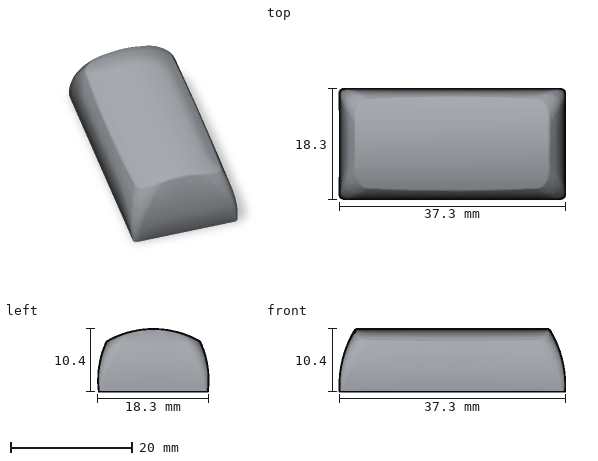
import cadquery as cq
import math

length = 37.3
width = 18.28
height = 10.4

end_wall_radius = 16.05
end_wall_widest_height = 1.12
long_wall_radius = 13.43
long_wall_widest_height = 1.85

end_wall_bow = 0.3
long_wall_bow = 0.5

corner_base_reach = 0.6
long_wall_corner_growth = 0.28
end_wall_corner_growth = 0.24

round_handle = 4 / 3 * (math.sqrt(2) - 1)

crown_radius = 15.3
crown_edge_radius = 0.65

loft_top = height + 0.37
section_count = 6


def wall_inset(z, wall_radius, widest_height):
    """Distance a wall has curved inwards at height z."""
    return wall_radius - math.sqrt(wall_radius**2 - (z - widest_height) ** 2)


def add_wall(outline, end, bow_point, bow):
    """Continue the outline along one wall, straight where there is no bow."""
    if bow == 0:
        return outline.lineTo(*end)
    return outline.threePointArc(bow_point, end)


def body_section(z):
    """Rounded rectangle with bowed sides at height z, its corners tangent to the sides."""
    half_x = length / 2 - wall_inset(z, end_wall_radius, end_wall_widest_height)
    half_y = width / 2 - wall_inset(z, long_wall_radius, long_wall_widest_height)
    reach_x = corner_base_reach + long_wall_corner_growth * z
    reach_y = corner_base_reach + end_wall_corner_growth * z
    flat_x = half_x - reach_x
    flat_y = half_y - reach_y

    bow_share = (z / height) ** 3
    bow_x = end_wall_bow * bow_share
    bow_y = long_wall_bow * bow_share

    long_wall_turn = 2 * math.atan(bow_y / flat_x)
    end_wall_turn = 2 * math.atan(bow_x / flat_y)
    handle_x = round_handle * reach_x
    handle_y = round_handle * reach_y
    long_wall_end = (flat_x, half_y)
    long_wall_handle = (flat_x + handle_x, half_y - handle_x * math.tan(long_wall_turn))
    end_wall_handle = (half_x - handle_y * math.tan(end_wall_turn), flat_y + handle_y)
    end_wall_end = (half_x, flat_y)
    corner = [long_wall_end, long_wall_handle, end_wall_handle, end_wall_end]

    def corner_curve(sign_x, sign_y):
        return [(sign_x * x, sign_y * y) for x, y in corner]

    front_right = corner_curve(1, -1)
    back_right = corner_curve(1, 1)[::-1]
    back_left = corner_curve(-1, 1)
    front_left = corner_curve(-1, -1)[::-1]

    outline = cq.Workplane("XY", origin=(0, 0, z)).moveTo(*front_left[-1])
    outline = add_wall(outline, front_right[0], (0, -half_y - bow_y), bow_y).bezier(front_right)
    outline = add_wall(outline, back_right[0], (half_x + bow_x, 0), bow_x).bezier(back_right)
    outline = add_wall(outline, back_left[0], (0, half_y + bow_y), bow_y).bezier(back_left)
    outline = add_wall(outline, front_left[0], (-half_x - bow_x, 0), bow_x).bezier(front_left)
    return outline.wire().val()


def make_body():
    """Bulging block lofted through evenly spaced sections."""
    step = loft_top / (section_count - 1)
    sections = [body_section(i * step) for i in range(section_count)]
    return cq.Workplane(obj=cq.Solid.makeLoft(sections))


def make_crown():
    """Cylinder along X whose top line is the highest line of the part."""
    return (
        cq.Workplane("YZ", origin=(-length, 0, 0))
        .center(0, height - crown_radius)
        .circle(crown_radius)
        .extrude(2 * length)
    )


trimmed_body = make_body().intersect(make_crown())
result = trimmed_body.faces(">Z").edges().fillet(crown_edge_radius)